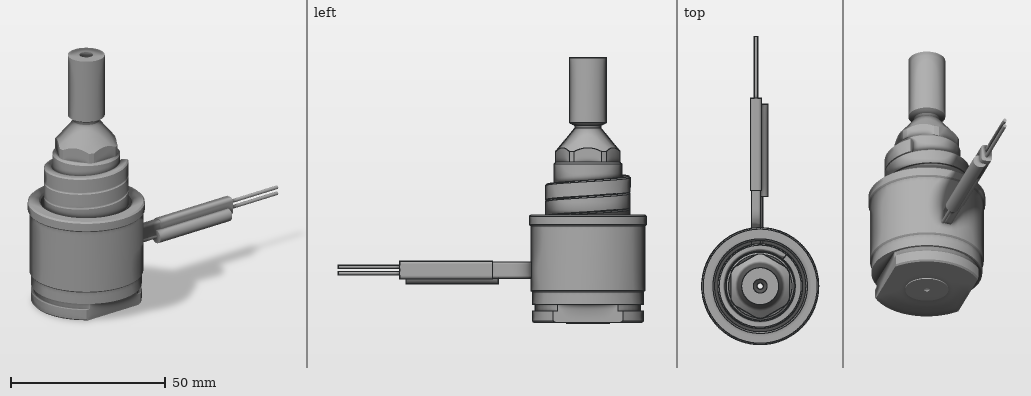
import cadquery as cq
import math

TOTAL_HEIGHT = 86.2
BASE_Z = 0.3
GROOVE_Z = 4.1
SHOULDER_Z = 6.2
BODY_Z = 10.2
FLANGE_Z = 31.6
RIM_Z = 35.2
CORE_TOP_Z = 52.4
CONE_TOP_Z = 63.0
NECK_FOOT_Z = 63.3
NECK_TOP_Z = 64.2
PIN_Z = 65.1

BOSS_RADIUS = 7.0
BASE_RADIUS = 18.0
GROOVE_RADIUS = 17.1
BODY_RADIUS = 18.5
FLANGE_RADIUS = 19.0
EDGE_CHAMFER = 0.5
BASE_HALF_WIDTH = 14.0

WELL_RADIUS = 14.8
WELL_MOUTH_RADIUS = 15.35
WELL_FLOOR_Z = BODY_Z

CORE_RADIUS = 11.0
CORE_CHAMFER = 0.7
COIL_RADIUS = 13.75
COIL_PITCH = 5.2
COIL_GAP = 0.2
COIL_OUTER_CHAMFER = 0.45
COIL_INNER_CHAMFER = 0.4
COIL_TURNS = 6.8
COIL_TOP_Z = 49.75
COIL_END_ANGLE = 50.0
COIL_OVERLAP = 0.5

HEX_ACROSS_FLATS = 19.0
NUT_RADIUS = 10.5
NUT_SHOULDER_Z = 55.75
CONE_TOP_RADIUS = 4.5
NECK_RADIUS = 4.2
PIN_RADIUS = 6.0
BORE_RADIUS = 2.25
BORE_DEPTH = 20.0
DRILL_POINT_ANGLE = 118.0
THROUGH_HOLE_RADIUS = 1.0

LEAD_X = -1.35
LEAD_Z = 17.3
LEAD_WIDTH = 3.0
LEAD_HEIGHT = 5.3
LEAD_FILLET = 0.75
LEAD_ROOT_Y = 13.0
SLEEVE_WALL = 0.3
SLEEVE_START_Y = 31.0
SLEEVE_LENGTH = 30.0
WIRE_RADIUS = 0.6
WIRE_SPACING = 2.1
WIRE_END_Y = 81.0

SIDE_WIRE_X = 0.35
SIDE_WIRE_Z = 15.0
SIDE_WIRE_RADIUS = 0.5
SIDE_SLEEVE_RADIUS = 2.2
SIDE_SLEEVE_START_Y = 29.0


def revolve(points):
    """Revolve an (r, z) outline about the Z axis."""
    return cq.Workplane("XZ").polyline(points).close().revolve(360, (0, 0), (0, 1))


def cylinder(radius, bottom, top):
    return cq.Workplane("XY").workplane(offset=bottom).circle(radius).extrude(top - bottom)


def make_base():
    base = revolve([
        (0, BASE_Z),
        (BASE_RADIUS - EDGE_CHAMFER, BASE_Z),
        (BASE_RADIUS, BASE_Z + EDGE_CHAMFER),
        (BASE_RADIUS, GROOVE_Z),
        (GROOVE_RADIUS, GROOVE_Z),
        (GROOVE_RADIUS, SHOULDER_Z),
        (0, SHOULDER_Z),
    ])
    slab = cq.Workplane("XY").box(2 * BASE_HALF_WIDTH, 2 * BASE_RADIUS, 2 * SHOULDER_Z)
    return base.intersect(slab).union(cylinder(BOSS_RADIUS, 0, SHOULDER_Z))


def make_body():
    mouth_chamfer = WELL_MOUTH_RADIUS - WELL_RADIUS
    return revolve([
        (0, SHOULDER_Z),
        (BASE_RADIUS, SHOULDER_Z),
        (BASE_RADIUS, BODY_Z),
        (BODY_RADIUS, BODY_Z + EDGE_CHAMFER),
        (BODY_RADIUS, FLANGE_Z),
        (FLANGE_RADIUS, FLANGE_Z + EDGE_CHAMFER),
        (FLANGE_RADIUS, RIM_Z - EDGE_CHAMFER),
        (FLANGE_RADIUS - EDGE_CHAMFER, RIM_Z),
        (WELL_MOUTH_RADIUS, RIM_Z),
        (WELL_RADIUS, RIM_Z - mouth_chamfer),
        (WELL_RADIUS, WELL_FLOOR_Z),
        (0, WELL_FLOOR_Z),
    ])


def make_core():
    core = cylinder(CORE_RADIUS, WELL_FLOOR_Z, CORE_TOP_Z)
    return core.faces(">Z").edges().chamfer(CORE_CHAMFER)


def make_coil():
    """Flat strip wound upward and counter-clockwise, ending at COIL_END_ANGLE."""
    strip_height = COIL_PITCH - COIL_GAP
    half_height = strip_height / 2
    rise = COIL_TURNS * COIL_PITCH
    start_z = COIL_TOP_Z - half_height - rise
    start_angle = COIL_END_ANGLE - 360 * COIL_TURNS
    inner = CORE_RADIUS - COIL_OVERLAP
    section = cq.Workplane("XZ").polyline([
        (inner, -half_height),
        (COIL_RADIUS, -half_height),
        (COIL_RADIUS, half_height - COIL_OUTER_CHAMFER),
        (COIL_RADIUS - COIL_OUTER_CHAMFER, half_height),
        (CORE_RADIUS + COIL_INNER_CHAMFER, half_height),
        (CORE_RADIUS, half_height - COIL_INNER_CHAMFER),
        (inner, half_height - COIL_INNER_CHAMFER),
    ]).close()
    path = cq.Workplane(obj=cq.Wire.makeHelix(COIL_PITCH, rise, COIL_RADIUS))
    coil = section.sweep(path, isFrenet=True)
    return coil.rotate((0, 0, 0), (0, 0, 1), start_angle).translate((0, 0, start_z))


def make_nut():
    hex_diameter = HEX_ACROSS_FLATS / math.cos(math.radians(30))
    hexagon = (
        cq.Workplane("XY")
        .workplane(offset=CORE_TOP_Z)
        .polygon(6, hex_diameter)
        .extrude(CONE_TOP_Z - CORE_TOP_Z)
        .rotate((0, 0, 0), (0, 0, 1), 30)
    )
    turned = revolve([
        (0, CORE_TOP_Z),
        (NUT_RADIUS, CORE_TOP_Z),
        (NUT_RADIUS, NUT_SHOULDER_Z),
        (CONE_TOP_RADIUS, CONE_TOP_Z),
        (0, CONE_TOP_Z),
    ])
    return hexagon.intersect(turned)


def make_pin():
    return revolve([
        (0, CONE_TOP_Z),
        (CONE_TOP_RADIUS, CONE_TOP_Z),
        (NECK_RADIUS, NECK_FOOT_Z),
        (NECK_RADIUS, NECK_TOP_Z),
        (PIN_RADIUS, PIN_Z),
        (PIN_RADIUS, TOTAL_HEIGHT),
        (0, TOTAL_HEIGHT),
    ])


def make_bore():
    point_slope = math.tan(math.radians(DRILL_POINT_ANGLE / 2))
    bore_z = TOTAL_HEIGHT - BORE_DEPTH
    point_z = bore_z - (BORE_RADIUS - THROUGH_HOLE_RADIUS) / point_slope
    return revolve([
        (0, 0),
        (THROUGH_HOLE_RADIUS, 0),
        (THROUGH_HOLE_RADIUS, point_z),
        (BORE_RADIUS, bore_z),
        (BORE_RADIUS, TOTAL_HEIGHT),
        (0, TOTAL_HEIGHT),
    ])


def bar_along_y(width, height, fillet, start, end):
    """Rounded rectangular bar centred on the lead axis."""
    middle = (LEAD_X, (start + end) / 2, LEAD_Z)
    bar = cq.Workplane("XY").box(width, end - start, height)
    return bar.edges("|Y").fillet(fillet).translate(middle)


def rod_along_y(x, z, radius, start, end):
    return cq.Workplane("XZ", origin=(x, start, z)).circle(radius).extrude(start - end)


def make_lead():
    sleeve_end = SLEEVE_START_Y + SLEEVE_LENGTH
    lead = bar_along_y(LEAD_WIDTH, LEAD_HEIGHT, LEAD_FILLET, LEAD_ROOT_Y, sleeve_end)
    sleeve = bar_along_y(
        LEAD_WIDTH + 2 * SLEEVE_WALL,
        LEAD_HEIGHT + 2 * SLEEVE_WALL,
        LEAD_FILLET + SLEEVE_WALL,
        SLEEVE_START_Y,
        sleeve_end,
    )
    lead = lead.union(sleeve)
    for side in (-1, 1):
        wire_z = LEAD_Z + side * WIRE_SPACING / 2
        lead = lead.union(rod_along_y(LEAD_X, wire_z, WIRE_RADIUS, SLEEVE_START_Y, WIRE_END_Y))
    return lead


def make_side_wire():
    sleeve_end = SIDE_SLEEVE_START_Y + SLEEVE_LENGTH
    wire = rod_along_y(SIDE_WIRE_X, SIDE_WIRE_Z, SIDE_WIRE_RADIUS, LEAD_ROOT_Y, sleeve_end)
    sleeve = rod_along_y(
        SIDE_WIRE_X, SIDE_WIRE_Z, SIDE_SLEEVE_RADIUS, SIDE_SLEEVE_START_Y, sleeve_end
    )
    return wire.union(sleeve)


result = make_base().union(make_body())
for piece in (make_core(), make_coil(), make_nut(), make_pin(), make_lead(), make_side_wire()):
    result = result.union(piece)
result = result.cut(make_bore())